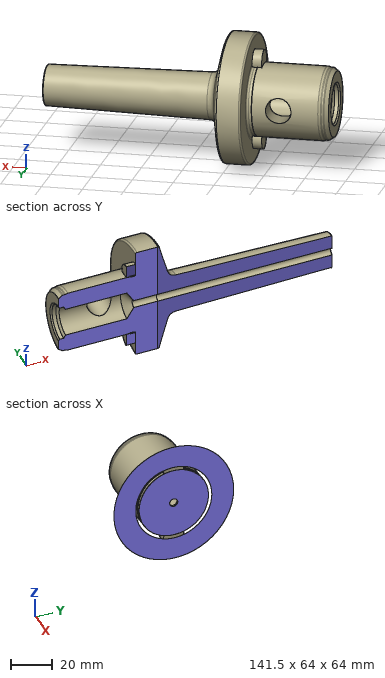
import cadquery as cq
import math


total_length = 141.5
flange_radius = 32.0

pilot_radius = 18.0
relief_depth = 0.4
relief_radius = pilot_radius - relief_depth
nose_face_radius = 16.0
nose_chamfer_end = 2.1
nose_edge_radius = 0.7
nose_end = 3.4
lead_in_end = 4.8
lead_in_radius = 1.4
pilot_end = 37.2
neck_start = 37.5

flange_face = 39.8
flange_back = 52.1
flange_edge_radius = 0.8
back_cone_angle = 75.0

back_edge_setback = flange_edge_radius * math.tan(math.radians(back_cone_angle / 2))
split_plane = flange_back - back_edge_setback

undercut_depth = 0.2
undercut_radius = 19.8
undercut_fillet = 1.0

mouth_radius = 10.5
seat_radius = 9.6
seat_start = 0.7
seat_end = 2.7
bore_radius = 7.9
bore_start = 3.7
bore_end = 35.4
coolant_radius = 2.0
drill_point_angle = 118.0

radial_hole_x = 24.2
radial_hole_radius = 6.2

key_radius = 5.4
key_offset = 19.4
key_front = 35.1

root_fillet = 4.0
shank_root_radius = 23.0 / 2
shank_root_x = 60.3
shank_tip_radius = 20.1 / 2
tip_chamfer = 0.4

edge_tolerance = 0.01


def revolve_about_x(points):
    """Solid of revolution from (x, radius) points that start and end on the axis."""
    return cq.Workplane("XY").polyline(points).close().revolve(360, (0, 0, 0), (1, 0, 0))


def make_bore_cutter():
    point_length = (bore_radius - coolant_radius) / math.tan(math.radians(drill_point_angle / 2))
    return revolve_about_x([
        (0, 0),
        (0, mouth_radius),
        (seat_start, seat_radius),
        (seat_end, seat_radius),
        (bore_start, bore_radius),
        (bore_end, bore_radius),
        (bore_end + point_length, coolant_radius),
        (total_length, coolant_radius),
        (total_length, 0),
    ])


def make_radial_hole_cutter():
    return (
        cq.Workplane("XZ")
        .center(radial_hole_x, 0)
        .circle(radial_hole_radius)
        .extrude(-pilot_radius)
    )


def fillet_circle(body, x, radius, size):
    """Round the circular edge of the given radius about the X axis that lies in the plane at x."""
    reach = radius + edge_tolerance
    box = cq.selectors.BoxSelector(
        (x - edge_tolerance, -reach, -reach),
        (x + edge_tolerance, reach, reach),
        boundingbox=True,
    )
    return body.edges(box).edges(cq.selectors.RadiusNthSelector(-1)).fillet(size)


def make_head():
    head = revolve_about_x([
        (0, 0),
        (0, nose_face_radius),
        (nose_chamfer_end, relief_radius),
        (nose_end, relief_radius),
        (lead_in_end, pilot_radius),
        (pilot_end, pilot_radius),
        (neck_start, relief_radius),
        (flange_face + undercut_depth, relief_radius),
        (flange_face, undercut_radius),
        (flange_face, flange_radius),
        (split_plane, flange_radius),
        (split_plane, 0),
    ])
    head = fillet_circle(head, nose_chamfer_end, relief_radius, nose_edge_radius)
    head = fillet_circle(head, nose_end, relief_radius, lead_in_radius)
    head = fillet_circle(head, flange_face + undercut_depth, relief_radius, undercut_fillet)
    head = fillet_circle(head, flange_face, flange_radius, flange_edge_radius)
    return head.cut(make_bore_cutter()).cut(make_radial_hole_cutter())


def make_shank():
    cone_angle = math.radians(back_cone_angle)
    cone_slope = math.tan(cone_angle)
    cone_start_x = flange_back + back_edge_setback * math.cos(cone_angle)
    cone_start_radius = flange_radius - back_edge_setback * math.sin(cone_angle)

    taper_slope = (shank_root_radius - shank_tip_radius) / (total_length - shank_root_x)
    cone_drop = flange_radius - shank_root_radius
    root_x = (
        (cone_drop + cone_slope * flange_back - taper_slope * shank_root_x)
        / (cone_slope - taper_slope)
    )
    root_radius = flange_radius - cone_slope * (root_x - flange_back)

    shank = (
        cq.Workplane("XY")
        .moveTo(split_plane, 0)
        .lineTo(split_plane, flange_radius)
        .radiusArc((cone_start_x, cone_start_radius), flange_edge_radius)
        .lineTo(root_x, root_radius)
        .lineTo(total_length - tip_chamfer, shank_tip_radius)
        .lineTo(total_length, shank_tip_radius - tip_chamfer)
        .lineTo(total_length, 0)
        .close()
        .revolve(360, (0, 0, 0), (1, 0, 0))
    )
    return fillet_circle(shank, root_x, root_radius, root_fillet).cut(make_bore_cutter())


def make_key(side):
    """Round key on the flange face, hollowed to sit on the pilot; side is +1 (top) or -1 (bottom)."""
    length = flange_face - key_front
    disc = (
        cq.Workplane("YZ", origin=(key_front, 0, 0))
        .center(0, side * key_offset)
        .circle(key_radius)
        .extrude(length)
    )
    pilot = cq.Workplane("YZ", origin=(key_front, 0, 0)).circle(pilot_radius).extrude(length)
    return disc.cut(pilot)


head = make_head()
shank = make_shank()
keys = [make_key(side) for side in (1, -1)]

result = cq.Compound.makeCompound([head.val(), shank.val(), *[key.val() for key in keys]])